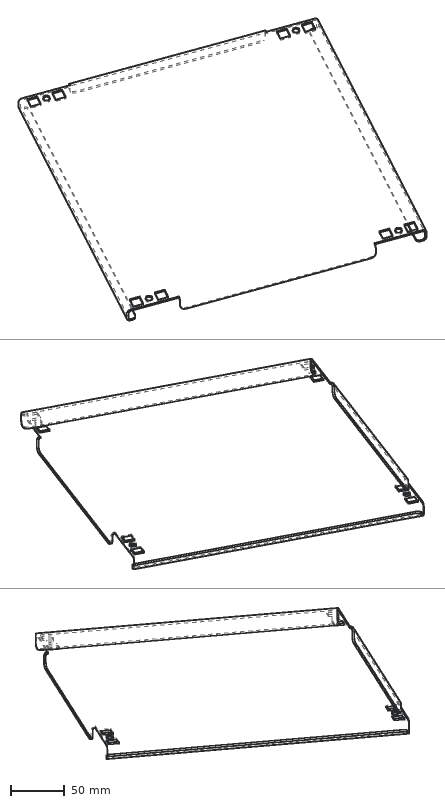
import cadquery as cq
import math

length_x = 299.0
length_y = 300.4
height = 15.0

sheet = 2.0
bend_outer_radius = 4.2
bend_inner_radius = bend_outer_radius - sheet

panel_x = length_x - 2 * bend_outer_radius

lip_reach = 9.8
lip_corner = 4.0

flange_y = 196.0
flange_corner = 6.0

hole_group_spacing_x = 275.0
hole_group_spacing_y = 250.0
square_hole_spacing = 25.0
square_hole = 10.0
round_hole_diameter = 6.5


def make_panel_with_lips():
    """Flat panel with both Y ends folded down and then inwards, with rounded lip corners."""
    outside = cq.Workplane("XY").box(panel_x, length_y, height, centered=(True, True, False))
    outside = outside.edges("|X").fillet(bend_outer_radius)

    inside = cq.Workplane("XY").workplane(offset=sheet)
    inside = inside.box(panel_x, length_y - 2 * sheet, height - 2 * sheet, centered=(True, True, False))
    inside = inside.edges("|X").fillet(bend_inner_radius)

    opening_y = length_y - 2 * lip_reach
    opening = cq.Workplane("XY").box(panel_x, opening_y, height / 2, centered=(True, True, False))
    panel = outside.cut(inside).cut(opening)
    lip_corners = cq.selectors.BoxSelector(
        (-panel_x, -opening_y, 0),
        (panel_x, opening_y, height / 2),
    )
    return panel.edges("|Z").edges(lip_corners).fillet(lip_corner)


def make_side_flange():
    """Flange bent down from the -X side of the panel, with rounded lower corners."""
    outer_x = -length_x / 2
    bend_x = -panel_x / 2
    bend_z = height - bend_outer_radius
    diagonal = math.sqrt(0.5)
    outer_mid = (bend_x - bend_outer_radius * diagonal, bend_z + bend_outer_radius * diagonal)
    inner_mid = (bend_x - bend_inner_radius * diagonal, bend_z + bend_inner_radius * diagonal)

    flange = (
        cq.Workplane("XZ")
        .moveTo(bend_x, height)
        .threePointArc(outer_mid, (outer_x, bend_z))
        .lineTo(outer_x, 0)
        .lineTo(outer_x + sheet, 0)
        .lineTo(outer_x + sheet, bend_z)
        .threePointArc(inner_mid, (bend_x, height - sheet))
        .close()
        .extrude(flange_y / 2, both=True)
    )
    return flange.faces("<Z").edges("|X").fillet(flange_corner)


def make_corner_holes():
    """Cutters for a round hole between two square holes in each corner of the panel."""
    group_centres = [
        (side * hole_group_spacing_x / 2, end * hole_group_spacing_y / 2)
        for side in (-1, 1)
        for end in (-1, 1)
    ]
    square_centres = [
        (x, y + step * square_hole_spacing / 2)
        for x, y in group_centres
        for step in (-1, 1)
    ]
    base = cq.Workplane("XY").workplane(offset=height - sheet)
    round_holes = base.pushPoints(group_centres).circle(round_hole_diameter / 2).extrude(sheet)
    square_holes = base.pushPoints(square_centres).rect(square_hole, square_hole).extrude(sheet)
    return round_holes.add(square_holes).combine()


flange = make_side_flange()
result = (
    make_panel_with_lips()
    .union(flange)
    .union(flange.mirror("YZ"))
    .cut(make_corner_holes())
)